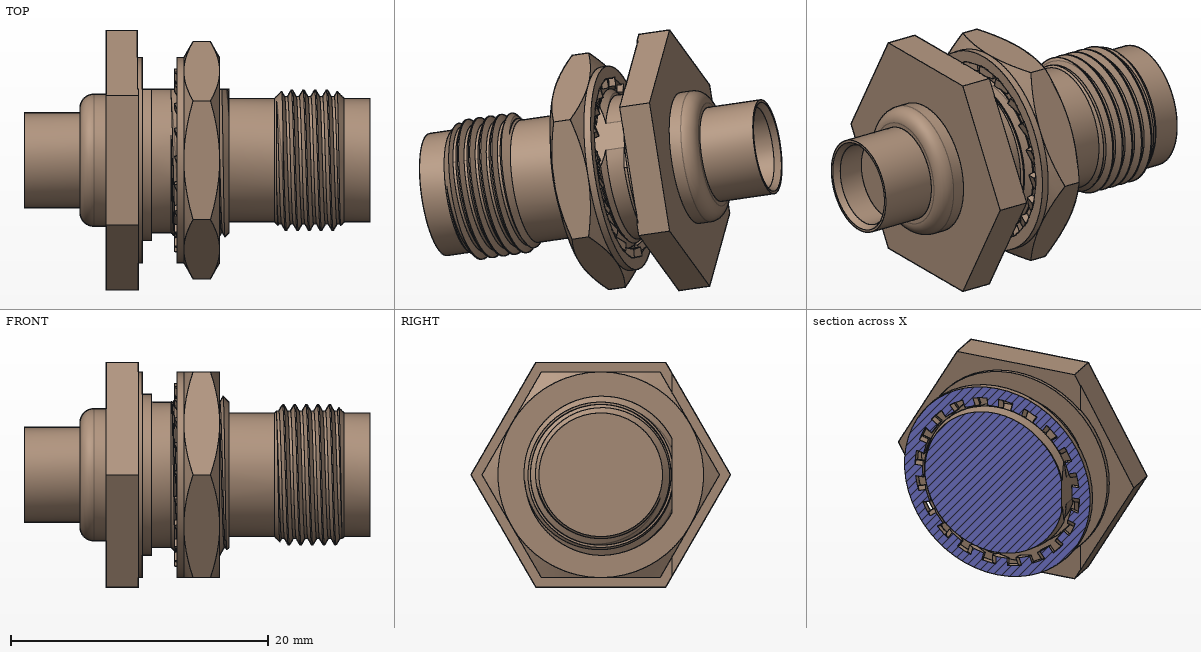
import cadquery as cq
import math


COLLAR_START = 4.32
FLANGE_START = 6.36
FLANGE_END = 8.88
GASKET_END = 9.18
SHOULDER_END = 9.91
BUSHING_THREAD_START = 11.42
WASHER_START = 11.86
NUT_START = 12.41
NUT_END = 15.19
BUSHING_END = 15.92
BARREL_THREAD_START = 19.46
BARREL_THREAD_END = 24.88
TOTAL_LENGTH = 26.9

TUBE_RADIUS = 3.7
BORE_RADIUS = 3.2
BORE_DEPTH = 2.5
MOUTH_RADIUS = 3.5
MOUTH_DEPTH = 0.5
COLLAR_RADIUS = 5.15
COLLAR_ROUND = 1.1

FLANGE_ACROSS_FLATS = 17.5
NUT_ACROSS_FLATS = 16.0
NUT_CHAMFER_ANGLE = 30.0
HEXAGON_HALF_ANGLE = 30.0

DISC_RADIUS = 8.0
BUSHING_MAJOR_RADIUS = 6.27
BUSHING_MINOR_RADIUS = 5.66
FLAT_OFFSET = 5.54
FLAT_RECESS = 0.08

WASHER_INNER_RADIUS = 7.05
TOOTH_COUNT = 20
TOOTH_PHASE = 2.0
TOOTH_WIDTH = 1.3
TOOTH_THICKNESS = 0.5
TOOTH_TWIST = 20.0
TOOTH_TIP_RADIUS = 6.4
TOOTH_ROOT_OVERLAP = 0.05

BARREL_RADIUS = 4.81
BARREL_THREAD_MAJOR_RADIUS = 5.47
BARREL_THREAD_MINOR_RADIUS = 4.97
THREAD_PITCH = 25.4 / 28
THREAD_FLANK_ANGLE = 30.0
THREAD_CREST_WIDTH = 0.1
THREAD_EMBED = 0.04
BARREL_CREST_AT_BOTTOM = 20.58
BUSHING_CREST_AT_BOTTOM = 15.15


def cylinder(start, end, radius):
    return cq.Workplane("YZ", origin=(start, 0, 0)).circle(radius).extrude(end - start)


def revolve_about_axis(points):
    profile = cq.Workplane("XY").polyline(points).close()
    return profile.revolve(360, (0, 0, 0), (1, 0, 0))


def hexagon(start, end, across_flats):
    corner_diameter = across_flats / math.cos(math.radians(HEXAGON_HALF_ANGLE))
    return cq.Workplane("YZ", origin=(start, 0, 0)).polygon(6, corner_diameter).extrude(end - start)


def thread(start, end, minor_radius, major_radius, end_radius, crest_at_bottom):
    """Right-handed external thread with 45 degree chamfers at both ends."""
    base_radius = minor_radius - THREAD_EMBED
    half_crest = THREAD_CREST_WIDTH / 2
    half_base = half_crest + (major_radius - base_radius) * math.tan(math.radians(THREAD_FLANK_ANGLE))

    turns_back = math.ceil((crest_at_bottom - start) / THREAD_PITCH) + 1
    helix_start = crest_at_bottom - turns_back * THREAD_PITCH
    turns = math.ceil((end - helix_start) / THREAD_PITCH) + 1
    helix = cq.Wire.makeHelix(THREAD_PITCH, turns * THREAD_PITCH, base_radius)
    section = cq.Workplane("XZ").polyline([
        (base_radius, -half_base),
        (major_radius, -half_crest),
        (major_radius, half_crest),
        (base_radius, half_base),
    ]).close()
    ridge = section.sweep(cq.Workplane(helix), isFrenet=True)
    ridge = ridge.rotate((0, 0, 0), (0, 1, 0), 90).translate((helix_start, 0, 0))

    core_start = helix_start - THREAD_PITCH
    core_end = helix_start + (turns + 1) * THREAD_PITCH
    threaded = cylinder(core_start, core_end, minor_radius).union(ridge)
    trim_radius = major_radius + THREAD_PITCH
    for end_x, beyond_x, inward in ((start, core_start, 1), (end, core_end, -1)):
        trim = revolve_about_axis([
            (beyond_x - inward * THREAD_PITCH, 0),
            (end_x, 0),
            (end_x, end_radius),
            (end_x + inward * (trim_radius - end_radius), trim_radius),
            (beyond_x - inward * THREAD_PITCH, trim_radius),
        ])
        threaded = threaded.cut(trim)
    return threaded


def cable_end():
    tube = cylinder(0, FLANGE_START, TUBE_RADIUS)
    collar = cylinder(COLLAR_START, FLANGE_START, COLLAR_RADIUS).faces("<X").edges().fillet(COLLAR_ROUND)
    bore = revolve_about_axis([
        (0, 0),
        (0, MOUTH_RADIUS),
        (MOUTH_DEPTH, BORE_RADIUS),
        (BORE_DEPTH, BORE_RADIUS),
        (BORE_DEPTH, 0),
    ])
    return tube.union(collar).cut(bore)


def flange_and_bushing():
    flange = hexagon(FLANGE_START, FLANGE_END, FLANGE_ACROSS_FLATS)
    shoulder = cylinder(FLANGE_END, SHOULDER_END, BUSHING_MAJOR_RADIUS)
    undercut = cylinder(SHOULDER_END, BUSHING_THREAD_START, BUSHING_MINOR_RADIUS)
    bushing_thread = thread(
        BUSHING_THREAD_START, BUSHING_END, BUSHING_MINOR_RADIUS, BUSHING_MAJOR_RADIUS,
        BUSHING_MINOR_RADIUS, BUSHING_CREST_AT_BOTTOM,
    )
    body = flange.union(shoulder).union(undercut).union(bushing_thread)

    flat_start = FLANGE_END - FLAT_RECESS
    flat_cut = cq.Workplane("XY").box(
        BUSHING_END - flat_start, FLANGE_ACROSS_FLATS, FLANGE_ACROSS_FLATS, centered=(False, False, True)
    ).translate((flat_start, FLAT_OFFSET, 0))
    gasket = cylinder(flat_start, GASKET_END, DISC_RADIUS)
    return body.cut(flat_cut).union(gasket)


def lock_washer():
    rim = cylinder(WASHER_START, NUT_START, DISC_RADIUS)
    washer = rim.cut(cylinder(WASHER_START, NUT_START, WASHER_INNER_RADIUS))
    tooth_length = WASHER_INNER_RADIUS + TOOTH_ROOT_OVERLAP - TOOTH_TIP_RADIUS
    middle = (WASHER_START + NUT_START) / 2
    tooth = (
        cq.Workplane("XY")
        .box(TOOTH_THICKNESS, TOOTH_WIDTH, tooth_length, centered=(True, True, False))
        .rotate((0, 0, 0), (0, 0, 1), TOOTH_TWIST)
        .translate((middle, 0, TOOTH_TIP_RADIUS))
    )
    for index in range(TOOTH_COUNT):
        angle = TOOTH_PHASE + index * 360 / TOOTH_COUNT
        washer = washer.union(tooth.rotate((0, 0, 0), (1, 0, 0), angle))
    return washer


def nut():
    corner_radius = NUT_ACROSS_FLATS / 2 / math.cos(math.radians(HEXAGON_HALF_ANGLE))
    face_radius = NUT_ACROSS_FLATS / 2
    chamfer_length = (corner_radius - face_radius) * math.tan(math.radians(NUT_CHAMFER_ANGLE))
    envelope = revolve_about_axis([
        (NUT_START, 0),
        (NUT_START, face_radius),
        (NUT_START + chamfer_length, corner_radius),
        (NUT_END - chamfer_length, corner_radius),
        (NUT_END, face_radius),
        (NUT_END, 0),
    ])
    return hexagon(NUT_START, NUT_END, NUT_ACROSS_FLATS).intersect(envelope)


def coupling_barrel():
    barrel = cylinder(BUSHING_END, TOTAL_LENGTH, BARREL_RADIUS)
    barrel_thread = thread(
        BARREL_THREAD_START, BARREL_THREAD_END, BARREL_THREAD_MINOR_RADIUS, BARREL_THREAD_MAJOR_RADIUS,
        BARREL_RADIUS, BARREL_CREST_AT_BOTTOM,
    )
    return barrel.union(barrel_thread)


clamping_hardware = nut().union(lock_washer())
result = (
    cable_end()
    .union(clamping_hardware)
    .union(flange_and_bushing())
    .union(coupling_barrel())
)